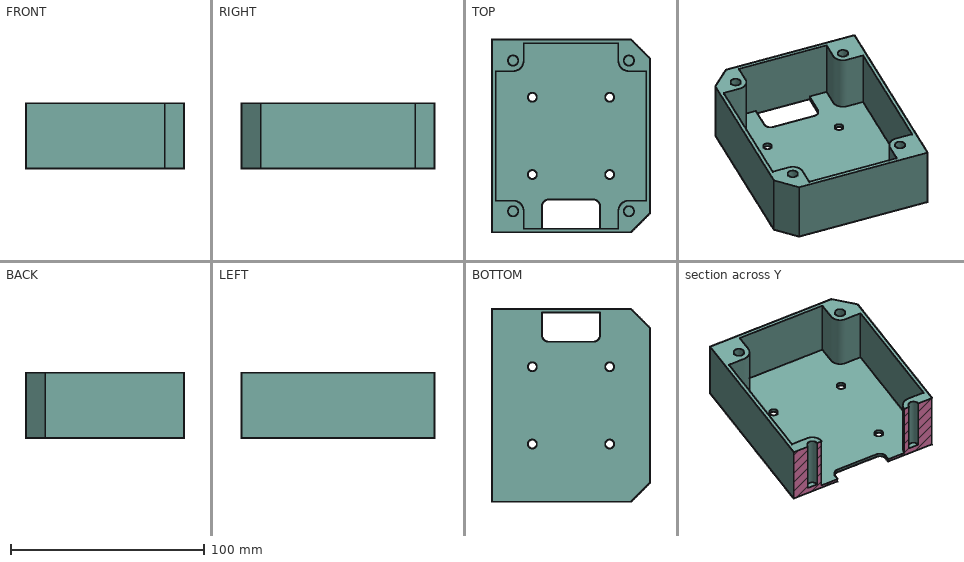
import cadquery as cq

width = 82.0
length = 100.0
height = 34.0
corner_cut = 10.0

wall = 2.0
floor = 2.0

post_x = 30.0
post_y = 39.0
post_radius = 5.5
screw_diameter = 5.3
screw_depth = 30.0

mount_spacing = 40.0
mount_diameter = 4.5
window_width = 30.0
window_length = 15.0
window_radius = 3.5

cavity_width = width - 2 * wall
cavity_length = length - 2 * wall
cavity_height = height - floor


def make_body():
    """Solid block with both +X vertical corners cut at 45 degrees."""
    block = cq.Workplane("XY").box(width, length, height, centered=(True, True, False))
    return block.edges("|Z and >X").chamfer(corner_cut)


def make_pocket(size_x, size_y):
    """Block as tall as the cavity, standing on the floor."""
    return (
        cq.Workplane("XY")
        .workplane(offset=floor)
        .box(size_x, size_y, cavity_height, centered=(True, True, False))
    )


def make_cavity():
    """Cross-shaped pocket that leaves a rounded post in every corner."""
    post_width = cavity_width / 2 - (post_x - post_radius)
    post_length = cavity_length / 2 - (post_y - post_radius)
    post = (
        make_pocket(post_width, post_length)
        .edges("|Z and <X and <Y")
        .fillet(post_radius)
        .translate(((cavity_width - post_width) / 2, (cavity_length - post_length) / 2, 0))
    )
    front_post = post.mirror("XZ")
    cavity = make_pocket(cavity_width, cavity_length)
    for right_post in (post, front_post):
        cavity = cavity.cut(right_post).cut(right_post.mirror("YZ"))
    return cavity


def make_screw_holes():
    """Blind holes down from the top of the posts."""
    return (
        cq.Workplane("XY")
        .workplane(offset=height - screw_depth)
        .rect(2 * post_x, 2 * post_y, forConstruction=True)
        .vertices()
        .circle(screw_diameter / 2)
        .extrude(screw_depth)
    )


def make_mount_holes():
    """Square pattern of through holes in the floor."""
    return (
        cq.Workplane("XY")
        .rect(mount_spacing, mount_spacing, forConstruction=True)
        .vertices()
        .circle(mount_diameter / 2)
        .extrude(floor)
    )


def make_window():
    """Floor opening against the -Y wall, rounded at its inner corners."""
    return (
        cq.Workplane("XY")
        .box(window_width, window_length, floor, centered=(True, False, False))
        .edges("|Z and >Y")
        .fillet(window_radius)
        .translate((0, -cavity_length / 2, 0))
    )


result = (
    make_body()
    .cut(make_cavity())
    .cut(make_screw_holes())
    .cut(make_mount_holes())
    .cut(make_window())
)